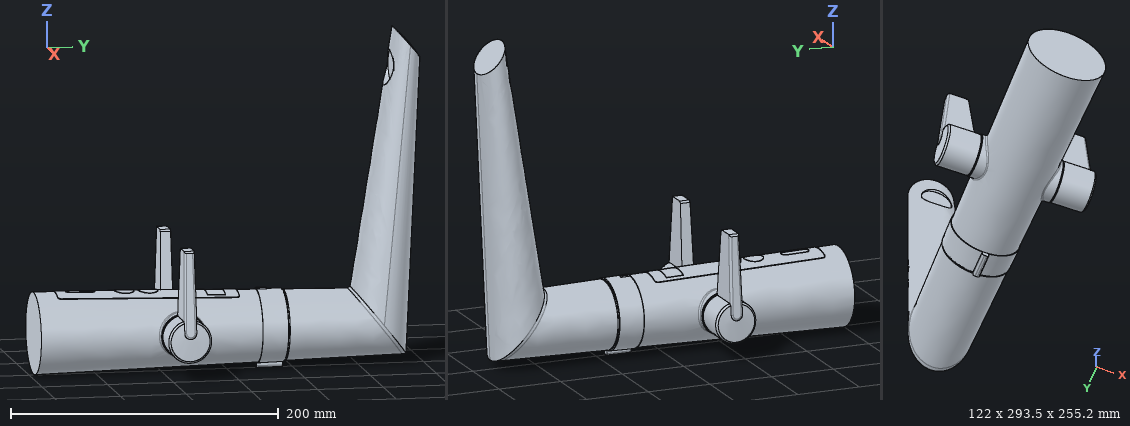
import cadquery as cq
import math


BODY_END_RADIUS = 31.0
BODY_TAPER = 0.022
MITRE_LOW_Y = 279.6
MITRE_HIGH_Y = 239.2

FOOT_LOW = (283.0, -24.6)
FOOT_HIGH = (241.2, 27.0)

TIP_BACK = (293.5, 200.0)
TIP_FRONT = (273.2, 223.5)
TIP_HALF_WIDTH = 18.2
TIP_DOME_RISE = 1.2

OUTLET_DIAMETER = 23.8
OUTLET_SEAT_Y = 272.0
OUTLET_Z = 193.7
OUTLET_FLARE = 0.4

COLLAR_START_Y = 169.3
COLLAR_END_Y = 189.0
COLLAR_RAISE = 0.5
SEAM_WIDTH = 1.2
SEAM_DEPTH = 0.5
MARK_WIDTH = 2.5
MARK_LENGTH = 7.5
MARK_RAISE = 1.0
LUG_WIDTH = 5.3
LUG_BOTTOM_Z = -31.7

PANEL_WIDTH = 27.3
PANEL_START_Y = 16.0
PANEL_END_Y = 154.3
PANEL_CORNER = 2.3
PANEL_RAISE = 0.45
DETAIL_STEP = 0.3
DISPLAY_WIDTH = 20.8
DISPLAY_START_Y = 130.3
DISPLAY_END_Y = 144.0
BUTTON_DIAMETER = 15.0
BUTTON_YS = (69.0, 87.2)
SLOT_WIDTH = 7.0
SLOT_START_Y = 24.5
SLOT_END_Y = 46.7

HANDLE_Y = 108.0
NECK_DIAMETER = 33.5
NECK_FILLET = 1.2
KNOB_DIAMETER = 32.5
KNOB_START_X = 33.2
KNOB_RIM_X = 59.3
KNOB_TIP_X = 60.5
KNOB_RIM_CHAMFER = 1.5
JOINT_WIDTH = 1.0
JOINT_DIAMETER = 31.5
LEVER_TOP_Z = 68.0
LEVER_TOP_INNER_X = 38.7
LEVER_TOP_OUTER_X = 55.5
LEVER_ROOT_INNER_X = 32.0
LEVER_ROOT_OUTER_X = 61.3
LEVER_ROOT_Z = 1.8
LEVER_TOP_THICKNESS = 8.0
LEVER_ROOT_THICKNESS = 10.0
LEVER_TOP_CHAMFER = 1.5
LEVER_EDGE_ROUND = 1.8


def body_radius(y):
    return BODY_END_RADIUS - BODY_TAPER * y


def body_cone(start_y, end_y, offset=0.0):
    """Length of the body cone, with its radius grown by the offset."""
    profile = [
        (0, start_y),
        (body_radius(start_y) + offset, start_y),
        (body_radius(end_y) + offset, end_y),
        (0, end_y),
    ]
    return cq.Workplane("XY").polyline(profile).close().revolve(360, (0, 0), (0, 1))


def slanted_ellipse(low, high, half_width):
    """Ellipse spanning two (Y, Z) points, symmetric about the YZ plane."""
    run = low[0] - high[0]
    rise = high[1] - low[1]
    center = cq.Vector(0, (low[0] + high[0]) / 2, (low[1] + high[1]) / 2)
    return cq.Wire.makeEllipse(
        half_width,
        math.hypot(run, rise) / 2,
        center,
        cq.Vector(0, rise, run),
        cq.Vector(1, 0, 0),
    )


def make_body():
    low_radius = body_radius(MITRE_LOW_Y)
    high_radius = body_radius(MITRE_HIGH_Y)
    low = (MITRE_LOW_Y, -low_radius)
    high = (MITRE_HIGH_Y, high_radius)

    reach_y = high[0] - low[0]
    reach_z = high[1] - low[1]
    keep = (
        cq.Workplane("YZ")
        .polyline([
            (0, low[1] - reach_z),
            (low[0] - reach_y, low[1] - reach_z),
            (high[0] + reach_y, high[1] + reach_z),
            (0, high[1] + reach_z),
        ])
        .close()
        .extrude(BODY_END_RADIUS, both=True)
    )
    body = body_cone(0, MITRE_LOW_Y).intersect(keep)

    half_width = math.sqrt(low_radius * high_radius)
    sections = [
        slanted_ellipse(low, high, half_width),
        slanted_ellipse(FOOT_LOW, FOOT_HIGH, half_width),
        slanted_ellipse(TIP_BACK, TIP_FRONT, TIP_HALF_WIDTH),
    ]
    for section, next_section in zip(sections, sections[1:]):
        body = body.union(cq.Workplane(cq.Solid.makeLoft([section, next_section], True)))
    return body


def dome_arc_middle(base_radius, rise):
    """Middle of the profile arc of a dome, as (radius, height over the base)."""
    sphere_radius = (base_radius ** 2 + rise ** 2) / (2 * rise)
    middle_radius = base_radius / 2
    height = rise - sphere_radius + math.sqrt(sphere_radius ** 2 - middle_radius ** 2)
    return middle_radius, height


def make_tip_dome():
    """Shallow dome on the slanted tip, round first and then squeezed to the ellipse."""
    run = TIP_BACK[0] - TIP_FRONT[0]
    rise = TIP_FRONT[1] - TIP_BACK[1]
    squeeze = math.hypot(run, rise) / 2 / TIP_HALF_WIDTH
    round_dome = (
        cq.Workplane("XZ")
        .lineTo(TIP_HALF_WIDTH, 0)
        .threePointArc(dome_arc_middle(TIP_HALF_WIDTH, TIP_DOME_RISE), (0, TIP_DOME_RISE))
        .close()
        .revolve(360, (0, 0), (0, 1))
    )
    scaling = cq.Matrix([[1, 0, 0, 0], [0, squeeze, 0, 0], [0, 0, 1, 0]])
    center = (0, (TIP_BACK[0] + TIP_FRONT[0]) / 2, (TIP_BACK[1] + TIP_FRONT[1]) / 2)
    tip_plane = cq.Plane(center, (1, 0, 0), (0, rise, run))
    return cq.Workplane(round_dome.val().transformGeometry(scaling).located(cq.Location(tip_plane)))


def make_outlet():
    depth = OUTLET_DIAMETER
    seat_radius = OUTLET_DIAMETER / 2
    return cq.Workplane(
        cq.Solid.makeCone(
            seat_radius,
            seat_radius + OUTLET_FLARE * depth,
            depth,
            cq.Vector(0, OUTLET_SEAT_Y, OUTLET_Z),
            cq.Vector(0, -1, 0),
        )
    )


def make_collar():
    length = COLLAR_END_Y - COLLAR_START_Y
    middle_y = (COLLAR_START_Y + COLLAR_END_Y) / 2
    collar = body_cone(COLLAR_START_Y, COLLAR_END_Y, COLLAR_RAISE)
    mark_top = body_radius(COLLAR_START_Y) + COLLAR_RAISE + MARK_RAISE
    mark = (
        cq.Workplane("XY")
        .center(0, COLLAR_START_Y + MARK_LENGTH / 2)
        .rect(MARK_WIDTH, MARK_LENGTH)
        .extrude(mark_top)
    )
    lug = (
        cq.Workplane("XY")
        .center(0, middle_y)
        .rect(LUG_WIDTH, length)
        .extrude(LUG_BOTTOM_Z)
        .edges("|Y and <Z")
        .fillet(LUG_WIDTH / 3)
    )
    return collar.union(mark).union(lug)


def make_seam():
    """Ring that cuts a thin groove at the spout end of the collar."""
    end_y = COLLAR_END_Y + SEAM_WIDTH
    outer = body_cone(COLLAR_END_Y, end_y, COLLAR_RAISE)
    return outer.cut(body_cone(COLLAR_END_Y, end_y, -SEAM_DEPTH))


def panel_patch(outline, offset):
    """Outline on the XY plane raised to the body surface grown by the offset."""
    return outline.extrude(2 * BODY_END_RADIUS).intersect(
        body_cone(0, COLLAR_START_Y, offset)
    )


def panel_rectangle(width, start_y, end_y):
    return (
        cq.Workplane("XY")
        .center(0, (start_y + end_y) / 2)
        .rect(width, end_y - start_y)
    )


def add_panel(part):
    panel = (
        panel_rectangle(PANEL_WIDTH, PANEL_START_Y, PANEL_END_Y)
        .extrude(2 * BODY_END_RADIUS)
        .edges("|Z")
        .fillet(PANEL_CORNER)
        .intersect(body_cone(0, COLLAR_START_Y, PANEL_RAISE))
    )
    part = part.union(panel)

    for button_y in BUTTON_YS:
        button = cq.Workplane("XY").center(0, button_y).circle(BUTTON_DIAMETER / 2)
        part = part.union(panel_patch(button, PANEL_RAISE + DETAIL_STEP))

    display = panel_rectangle(DISPLAY_WIDTH, DISPLAY_START_Y, DISPLAY_END_Y)
    slot = (
        cq.Workplane("XY")
        .center(0, (SLOT_START_Y + SLOT_END_Y) / 2)
        .slot2D(SLOT_END_Y - SLOT_START_Y, SLOT_WIDTH, 90)
    )
    floor = body_cone(0, COLLAR_START_Y, PANEL_RAISE - DETAIL_STEP)
    for recess in (display, slot):
        part = part.cut(panel_patch(recess, PANEL_RAISE + DETAIL_STEP).cut(floor))
    return part


def make_knob():
    """Neck, joint groove and knob with a gently domed end, turned about X."""
    neck_radius = NECK_DIAMETER / 2
    joint_radius = JOINT_DIAMETER / 2
    knob_radius = KNOB_DIAMETER / 2
    rim_radius = knob_radius - KNOB_RIM_CHAMFER
    middle_radius, middle_rise = dome_arc_middle(rim_radius, KNOB_TIP_X - KNOB_RIM_X)
    joint_x = KNOB_START_X - JOINT_WIDTH
    return (
        cq.Workplane("XY")
        .moveTo(0, 0)
        .lineTo(0, neck_radius)
        .lineTo(joint_x, neck_radius)
        .lineTo(joint_x, joint_radius)
        .lineTo(KNOB_START_X, joint_radius)
        .lineTo(KNOB_START_X, knob_radius)
        .lineTo(KNOB_RIM_X - KNOB_RIM_CHAMFER, knob_radius)
        .lineTo(KNOB_RIM_X, rim_radius)
        .threePointArc((KNOB_RIM_X + middle_rise, middle_radius), (KNOB_TIP_X, 0))
        .close()
        .revolve(360, (0, 0), (1, 0))
    )


def make_lever():
    """Upright blade, tapered in both directions, with a rounded root."""
    side = (
        cq.Workplane("XZ")
        .polyline([
            (LEVER_ROOT_INNER_X, 0),
            (LEVER_ROOT_OUTER_X, 0),
            (LEVER_TOP_OUTER_X, LEVER_TOP_Z),
            (LEVER_TOP_INNER_X, LEVER_TOP_Z),
        ])
        .close()
        .extrude(LEVER_ROOT_THICKNESS, both=True)
        .edges("|Y and >Z")
        .chamfer(LEVER_TOP_CHAMFER)
    )
    half_top = LEVER_TOP_THICKNESS / 2
    half_root = LEVER_ROOT_THICKNESS / 2
    root_z = LEVER_ROOT_Z + half_root
    edge = (
        cq.Workplane("YZ")
        .moveTo(-half_root, root_z)
        .threePointArc((0, LEVER_ROOT_Z), (half_root, root_z))
        .lineTo(half_top, LEVER_TOP_Z)
        .lineTo(-half_top, LEVER_TOP_Z)
        .close()
        .extrude(2 * KNOB_TIP_X)
    )
    blade = side.intersect(edge)
    return blade.faces(">X").edges("not |Y").fillet(LEVER_EDGE_ROUND)


def make_handle():
    return make_knob().union(make_lever()).translate((0, HANDLE_Y, 0))


def add_handles(part):
    handle = make_handle()
    part = part.union(handle).union(handle.mirror("YZ"))

    neck_radius = NECK_DIAMETER / 2
    radius_here = body_radius(HANDLE_Y)
    saddle_x = math.sqrt(radius_here ** 2 - neck_radius ** 2)
    for side in (-1, 1):
        saddle = cq.selectors.BoxSelector(
            (side * saddle_x, HANDLE_Y - neck_radius, -neck_radius),
            (side * radius_here, HANDLE_Y + neck_radius, neck_radius),
        )
        part = part.edges(saddle).fillet(NECK_FILLET)
    return part


result = make_body().union(make_tip_dome()).cut(make_outlet())
result = add_handles(result)
result = result.union(make_collar()).cut(make_seam())
result = add_panel(result)